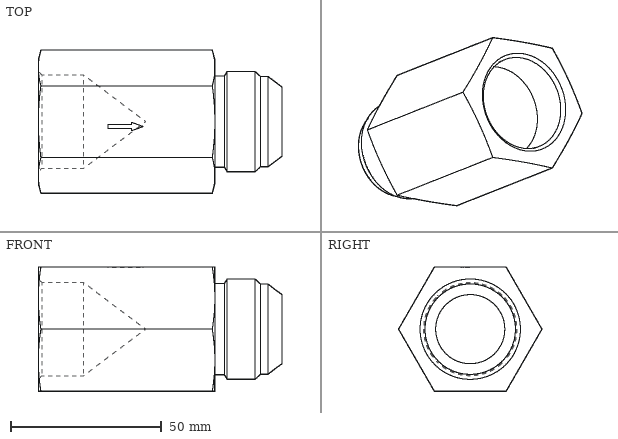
import cadquery as cq
import math


hex_across_flats = 41.3
hex_length = 58.6
hex_corner_radius = hex_across_flats / 2 / math.cos(math.radians(30))
hex_chamfer_angle = 15.0
hex_chamfer_length = (hex_corner_radius - hex_across_flats / 2) * math.tan(math.radians(hex_chamfer_angle))

total_length = 81.0
neck_radius = 30.4 / 2
neck_end = 61.8
thread_radius = 33.4 / 2
thread_lead_in_angle = 60.0
thread_lead_in_length = (thread_radius - neck_radius) / math.tan(math.radians(thread_lead_in_angle))
thread_end = 72.0
nose_radius = 30.05 / 2
thread_runout_length = 1.8
seat_length = 4.7
seat_start = total_length - seat_length
seat_angle = 37.0
tip_radius = nose_radius - seat_length * math.tan(math.radians(seat_angle))

bore_radius = 31.0 / 2
bore_mouth_radius = 33.4 / 2
bore_chamfer = bore_mouth_radius - bore_radius
bore_depth = 15.1
bore_cone_angle = 74.0
bore_cone_length = bore_radius / math.tan(math.radians(bore_cone_angle / 2))

arrow_tail = 23.1
arrow_head_start = 31.0
arrow_tip = 34.8
arrow_y = -1.6
arrow_shaft_width = 1.3
arrow_head_width = 2.75
arrow_depth = 0.25


def revolve_about_x(points):
    """Turn a closed (x, radius) outline around the X axis."""
    return cq.Workplane("XY").polyline(points).close().revolve(360, (0, 0, 0), (1, 0, 0))


def hex_body():
    """Hexagonal prism with flats on top and bottom, turned to a cone at both ends."""
    prism = cq.Workplane("YZ").polygon(6, 2 * hex_corner_radius).extrude(hex_length)
    envelope = revolve_about_x([
        (0, 0),
        (0, hex_across_flats / 2),
        (hex_chamfer_length, hex_corner_radius),
        (hex_length - hex_chamfer_length, hex_corner_radius),
        (hex_length, hex_across_flats / 2),
        (hex_length, 0),
    ])
    return prism.intersect(envelope)


def male_end():
    """Neck, thread blank and nose with a conical seat."""
    return revolve_about_x([
        (hex_length, 0),
        (hex_length, neck_radius),
        (neck_end, neck_radius),
        (neck_end + thread_lead_in_length, thread_radius),
        (thread_end, thread_radius),
        (thread_end + thread_runout_length, nose_radius),
        (seat_start, nose_radius),
        (total_length, tip_radius),
        (total_length, 0),
    ])


def bore():
    """Blind bore with a chamfered mouth and a conical bottom."""
    return revolve_about_x([
        (0, 0),
        (0, bore_mouth_radius),
        (bore_chamfer, bore_radius),
        (bore_depth, bore_radius),
        (bore_depth + bore_cone_length, 0),
    ])


def flow_arrow():
    """Arrow pointing along +X, as a shallow pocket in the top flat."""
    upper_half = [
        (arrow_tail, arrow_shaft_width / 2),
        (arrow_head_start, arrow_shaft_width / 2),
        (arrow_head_start, arrow_head_width / 2),
    ]
    lower_half = [(x, -y) for x, y in reversed(upper_half)]
    outline = upper_half + [(arrow_tip, 0)] + lower_half
    floor = cq.Workplane("XY", origin=(0, arrow_y, hex_across_flats / 2 - arrow_depth))
    return floor.polyline(outline).close().extrude(arrow_depth)


result = hex_body().union(male_end()).cut(bore()).cut(flow_arrow())